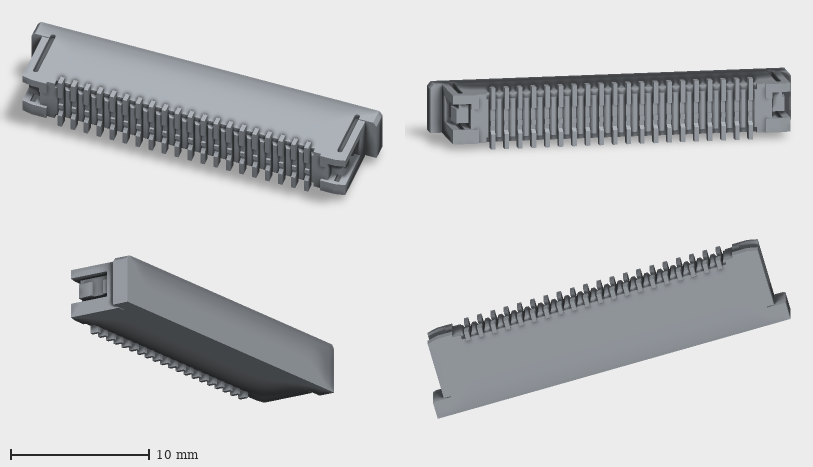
import cadquery as cq

LENGTH = 26.6
DEPTH = 5.75
HEIGHT = 4.5

TAIL_PROJECTION = 0.45
HOUSING_BOTTOM = TAIL_PROJECTION
HOUSING_TOP = HEIGHT - TAIL_PROJECTION
HOUSING_HEIGHT = HOUSING_TOP - HOUSING_BOTTOM
FLANGE_OVERHANG = 0.85
FLANGE_THICKNESS = 1.28
FLANGE_CHAMFER_X = 0.27
FLANGE_CHAMFER_Z = 0.32
HALF_LENGTH = LENGTH / 2
HALF_BODY = HALF_LENGTH - FLANGE_OVERHANG
FLANGE_FRONT = DEPTH - FLANGE_THICKNESS
BODY_FACE_Y = 0.25

JAW_FRONT = 0.03
JAW_INNER_X = 10.55
JAW_FACET_X = 11.68
JAW_FACET_DEPTH = 0.15
UPPER_JAW_BOTTOM = HOUSING_TOP - 1.06
LOWER_JAW_TOP = HOUSING_BOTTOM + 1.05

GROOVE_WIDTH = 0.4
GROOVE_X = 11.73
GROOVE_FRONT = 0.85
GROOVE_BACK = 4.87
GROOVE_DEPTH = 0.4
GAP_WIDTH = 0.08
GAP_INNER_X = GROOVE_X + GROOVE_WIDTH / 2

POCKET_INNER_X = 11.1
POCKET_BACK = 3.38
POCKET_TOP = HOUSING_TOP - 0.65
POCKET_BOTTOM = LOWER_JAW_TOP

PLATE_FRONT = 0.66
PLATE_INNER_X = 11.2
PLATE_OUTER_X = 11.92
TAB_FRONT_X = 12.1
TAB_BACK_X = 12.25
PLATE_BUMP_X = 12.13
PLATE_TOP = HOUSING_TOP - 0.75
PLATE_BOTTOM = HOUSING_TOP - 2.15
TAB_TOP = HOUSING_TOP - 1.12
TAB_BACK = 1.85
PLATE_BUMP_FRONT = 2.7
PLATE_BUMP_CREST_FRONT = 2.8
PLATE_BUMP_CREST_BACK = 3.15
RECESS_INNER_X = 11.52
RECESS_DEPTH = 0.27
TROUGH_FRONT = 0.32
TROUGH_DEPTH = 0.27

BAY_HALF = 9.98
BAY_FACE_Y = 0.59
BAY_RAIL = 0.4
RIB_BOTTOM = HOUSING_BOTTOM + BAY_RAIL
RIB_HEIGHT = HOUSING_HEIGHT - 2 * BAY_RAIL
RIB_TIP = 0.25
END_RIB_WIDTH = 0.13

CONTACT_COUNT = 20
CONTACT_SPAN = 19.0
PITCH = CONTACT_SPAN / (CONTACT_COUNT - 1)
CONTACT_WIDTH = 0.32
CONTACT_DEPTH = 0.66
CONTACT_RECESS_Y = 0.32
UPPER_LEG_BOTTOM = HOUSING_TOP - 1.12
CONTACT_BUMP_Y = 0.15
CONTACT_BUMP_TOP = 2.05
CONTACT_BUMP_BOTTOM = 1.68
LOWER_LEG_SLOPE_TOP = 1.33
LOWER_LEG_SLOPE_BOTTOM = 1.1


def box(x0, x1, y0, y1, z0, z1):
    """Box between two opposite corners."""
    return cq.Workplane("XY").box(x1 - x0, y1 - y0, z1 - z0, centered=False).translate((x0, y0, z0))


def prism(points, bottom, height):
    """Vertical prism over an XY outline."""
    return cq.Workplane("XY").workplane(offset=bottom).polyline(points).close().extrude(height)


def both_ends(shape):
    """The shape together with its mirror image at the other end."""
    return shape.union(shape.mirror("YZ"))


def contact_x(index):
    """X position of a contact, counted from the -X end."""
    return index * PITCH - CONTACT_SPAN / 2


def make_body():
    half_outline = [
        (0, BODY_FACE_Y),
        (JAW_INNER_X, BODY_FACE_Y),
        (JAW_INNER_X, JAW_FRONT),
        (JAW_FACET_X, JAW_FRONT),
        (HALF_BODY, JAW_FRONT + JAW_FACET_DEPTH),
        (HALF_BODY, DEPTH),
        (0, DEPTH),
    ]
    return both_ends(prism(half_outline, HOUSING_BOTTOM, HOUSING_HEIGHT))


def make_flange():
    half_outline = [
        (0, HOUSING_BOTTOM),
        (HALF_LENGTH, HOUSING_BOTTOM),
        (HALF_LENGTH, HOUSING_TOP - FLANGE_CHAMFER_Z),
        (HALF_LENGTH - FLANGE_CHAMFER_X, HOUSING_TOP),
        (0, HOUSING_TOP),
    ]
    half = cq.Workplane("XZ", origin=(0, DEPTH, 0)).polyline(half_outline).close().extrude(FLANGE_THICKNESS)
    return both_ends(half)


def make_end_cuts():
    """Pocket details, jaw opening, guide groove and flange gap of the +X end, mirrored to the other end."""
    pocket = box(POCKET_INNER_X, HALF_LENGTH, 0, POCKET_BACK, POCKET_BOTTOM, POCKET_TOP)
    jaw_opening = box(JAW_INNER_X, POCKET_INNER_X, 0, BODY_FACE_Y, LOWER_JAW_TOP, UPPER_JAW_BOTTOM)
    recess = box(
        RECESS_INNER_X, PLATE_OUTER_X,
        POCKET_BACK, POCKET_BACK + RECESS_DEPTH,
        POCKET_BOTTOM, PLATE_BOTTOM,
    )
    trough = box(
        RECESS_INNER_X, PLATE_OUTER_X,
        TROUGH_FRONT, POCKET_BACK,
        POCKET_BOTTOM - TROUGH_DEPTH, POCKET_BOTTOM,
    )
    groove = (
        cq.Workplane("XY", origin=(GROOVE_X, (GROOVE_FRONT + GROOVE_BACK) / 2, HOUSING_TOP))
        .slot2D(GROOVE_BACK - GROOVE_FRONT, GROOVE_WIDTH, 90)
        .extrude(-GROOVE_DEPTH)
    )
    gap = box(
        GAP_INNER_X, HALF_BODY,
        FLANGE_FRONT - GAP_WIDTH, FLANGE_FRONT,
        HOUSING_BOTTOM, HOUSING_TOP,
    )
    return both_ends(pocket.union(jaw_opening).union(recess).union(trough).union(groove).union(gap))


def make_plates():
    """Retention plate with a leaning front tab and a bump at the rear."""
    plate = box(PLATE_INNER_X, PLATE_OUTER_X, PLATE_FRONT, POCKET_BACK, PLATE_BOTTOM, PLATE_TOP)
    web = box(POCKET_INNER_X, PLATE_INNER_X, PLATE_BUMP_FRONT, POCKET_BACK, PLATE_BOTTOM, PLATE_TOP)
    raised_outline = [
        (PLATE_INNER_X, PLATE_FRONT),
        (TAB_FRONT_X, PLATE_FRONT),
        (TAB_BACK_X, TAB_BACK),
        (PLATE_OUTER_X, TAB_BACK),
        (PLATE_OUTER_X, PLATE_BUMP_FRONT),
        (PLATE_BUMP_X, PLATE_BUMP_CREST_FRONT),
        (PLATE_BUMP_X, PLATE_BUMP_CREST_BACK),
        (PLATE_OUTER_X, POCKET_BACK),
        (PLATE_INNER_X, POCKET_BACK),
    ]
    raised = prism(raised_outline, PLATE_BOTTOM, TAB_TOP - PLATE_BOTTOM)
    return both_ends(plate.union(web).union(raised))


def make_ribs():
    """Tapered ribs between the contacts, and half ribs at both ends of the bay."""
    root_half = (PITCH - CONTACT_WIDTH) / 2
    tip_half = RIB_TIP / 2
    rib_outline = [
        (-root_half, BAY_FACE_Y),
        (-tip_half, BODY_FACE_Y),
        (tip_half, BODY_FACE_Y),
        (root_half, BAY_FACE_Y),
    ]
    rib = prism(rib_outline, RIB_BOTTOM, RIB_HEIGHT)
    last_contact_side = (CONTACT_SPAN + CONTACT_WIDTH) / 2
    end_rib_outline = [
        (BAY_HALF, BAY_FACE_Y),
        (BAY_HALF, BODY_FACE_Y),
        (BAY_HALF - END_RIB_WIDTH, BODY_FACE_Y),
        (last_contact_side, BAY_FACE_Y),
    ]
    ribs = both_ends(prism(end_rib_outline, RIB_BOTTOM, RIB_HEIGHT))
    for i in range(CONTACT_COUNT - 1):
        ribs = ribs.union(rib.translate((contact_x(i) + PITCH / 2, 0, 0)))
    return ribs


def make_contact():
    """One contact, centred on X = 0, extruded from its side profile."""
    profile = [
        (0, 0),
        (CONTACT_DEPTH, 0),
        (CONTACT_DEPTH, HEIGHT),
        (0, HEIGHT),
        (0, UPPER_LEG_BOTTOM),
        (CONTACT_RECESS_Y, UPPER_LEG_BOTTOM),
        (CONTACT_RECESS_Y, CONTACT_BUMP_TOP),
        (CONTACT_BUMP_Y, CONTACT_BUMP_TOP),
        (CONTACT_BUMP_Y, CONTACT_BUMP_BOTTOM),
        (CONTACT_RECESS_Y, CONTACT_BUMP_BOTTOM),
        (CONTACT_RECESS_Y, LOWER_LEG_SLOPE_TOP),
        (0, LOWER_LEG_SLOPE_BOTTOM),
    ]
    return cq.Workplane("YZ").polyline(profile).close().extrude(CONTACT_WIDTH / 2, both=True)


bay = box(-BAY_HALF, BAY_HALF, 0, BAY_FACE_Y, HOUSING_BOTTOM, HOUSING_TOP)

result = make_body().union(make_flange()).cut(make_end_cuts()).cut(bay)
result = result.union(make_plates()).union(make_ribs())

contact = make_contact()
for i in range(CONTACT_COUNT):
    result = result.union(contact.translate((contact_x(i), 0, 0)))